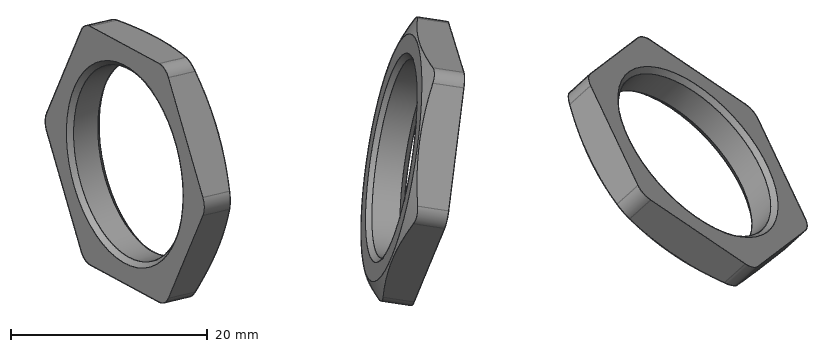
import cadquery as cq
import math

across_corners = 29.4
across_flats = 26.0
thickness = 4.0
bore_diameter = 20.5
bore_chamfer = 0.53
crown_diameter = 25.5
crown_drop = 0.82

sharp_corners = across_flats / math.cos(math.pi / 6)
corner_radius = (sharp_corners - across_corners) / (sharp_corners / across_flats - 1) / 2


def rounded_hexagon():
    """Hexagonal prism from Y = 0 to Y = thickness, with corners on the X axis."""
    return (
        cq.Workplane("XZ")
        .polygon(6, sharp_corners)
        .extrude(-thickness)
        .edges("|Y")
        .fillet(corner_radius)
    )


def crown_envelope():
    """Turned blank whose cone cuts the hexagon corners at the +Y face."""
    crown_radius = crown_diameter / 2
    slope = crown_drop / (across_corners / 2 - crown_radius)
    blank_radius = sharp_corners / 2
    blank_side = thickness - slope * (blank_radius - crown_radius)
    return (
        cq.Workplane("XY")
        .moveTo(0, 0)
        .lineTo(blank_radius, 0)
        .lineTo(blank_radius, blank_side)
        .lineTo(crown_radius, thickness)
        .lineTo(0, thickness)
        .close()
        .revolve(360, (0, 0, 0), (0, 1, 0))
    )


def chamfered_bore():
    """Through bore, countersunk at 45 degrees at both faces."""
    bore_radius = bore_diameter / 2
    mouth_radius = bore_radius + bore_chamfer
    return (
        cq.Workplane("XY")
        .moveTo(0, 0)
        .lineTo(mouth_radius, 0)
        .lineTo(bore_radius, bore_chamfer)
        .lineTo(bore_radius, thickness - bore_chamfer)
        .lineTo(mouth_radius, thickness)
        .lineTo(0, thickness)
        .close()
        .revolve(360, (0, 0, 0), (0, 1, 0))
    )


result = rounded_hexagon().intersect(crown_envelope()).cut(chamfered_bore())